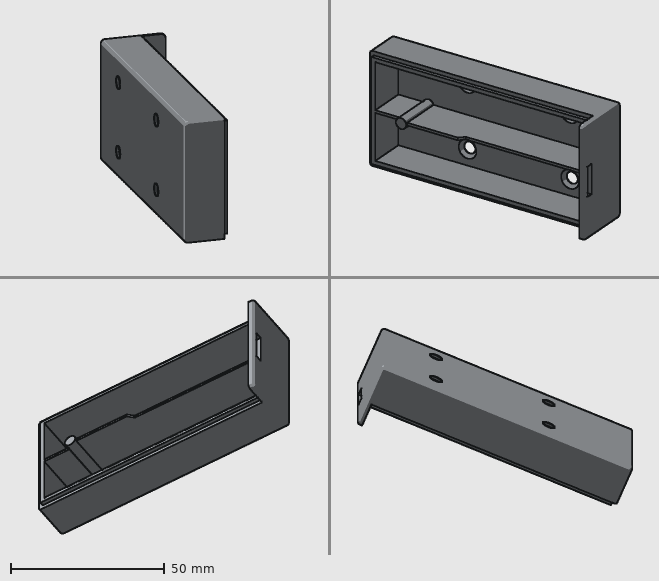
import cadquery as cq

LENGTH = 89.0
DEPTH = 22.0
HEIGHT = 42.0
MID_Z = HEIGHT / 2

WALL_TOP = 13.8
FLOOR = 1.5
END_PLATE = 2.0
WALL = 3.0
LONG_EDGE_RADIUS = 1.5
END_EDGE_RADIUS = 1.0

LIP_HEIGHT = 1.4
LIP_INSET = 1.5
LIP_TOP = WALL_TOP + LIP_HEIGHT

RIB_WIDTH = 1.0
TONGUE_START = 50.7
TONGUE_TOP = 17.1
PIN_X = 74.2
PIN_DIAMETER = 4.0
PIN_TOP = 17.9

HOLE_DIAMETER = 4.3
COUNTERSINK_DIAMETER = 6.9
HOLE_FIRST_X = 19.0
HOLE_SPACING_X = 40.0
HOLE_SPACING_Z = 24.0

SLOT_BOTTOM = 17.6
SLOT_TOP = 20.0
SLOT_LENGTH = 11.0


def block(x_range, y_range, z_range):
    """Axis-aligned box spanning the given ranges."""
    low = [r[0] for r in (x_range, y_range, z_range)]
    size = [r[1] - r[0] for r in (x_range, y_range, z_range)]
    return cq.Workplane("XY").box(*size, centered=False).translate(tuple(low))


def centred_span(width):
    """Z range of the given width about the middle of the part."""
    return (MID_Z - width / 2, MID_Z + width / 2)


def make_body():
    """Solid L-shaped body with rounded edges along the floor and around both end faces."""
    body = (
        cq.Workplane("XY")
        .polyline(
            [
                (0, 0),
                (LENGTH, 0),
                (LENGTH, WALL_TOP),
                (END_PLATE, WALL_TOP),
                (END_PLATE, DEPTH),
                (0, DEPTH),
            ]
        )
        .close()
        .extrude(HEIGHT)
    )
    floor_edges = body.faces("<Y").edges("|X").vals()
    plate_edges = body.faces(">Y").edges("<X or |X").vals()
    body = body.newObject(floor_edges + plate_edges).fillet(LONG_EDGE_RADIUS)
    body = body.faces("<X").edges("not >Y").fillet(END_EDGE_RADIUS)
    return body.faces(">X").edges("not >Y").fillet(END_EDGE_RADIUS)


def make_lip():
    """Step set in from the outer walls on the three low sides."""
    return block(
        (END_PLATE, LENGTH - LIP_INSET),
        (WALL_TOP, LIP_TOP),
        centred_span(HEIGHT - 2 * LIP_INSET),
    )


def make_cavity():
    """Inside of the shell, open towards +Y."""
    return block(
        (END_PLATE, LENGTH - WALL),
        (FLOOR, LIP_TOP),
        centred_span(HEIGHT - 2 * WALL),
    )


def make_rib():
    """Rib along the middle of the cavity, level with the lip."""
    return block((END_PLATE, LENGTH - WALL), (FLOOR, LIP_TOP), centred_span(RIB_WIDTH))


def make_tongue():
    """Raised part of the rib, ramped at 45 degrees at its start and ending inside the pin."""
    rise = TONGUE_TOP - LIP_TOP
    return (
        cq.Workplane("XY")
        .workplane(offset=MID_Z - RIB_WIDTH / 2)
        .moveTo(TONGUE_START, LIP_TOP)
        .lineTo(TONGUE_START + rise, TONGUE_TOP)
        .lineTo(PIN_X, TONGUE_TOP)
        .lineTo(PIN_X, FLOOR)
        .lineTo(TONGUE_START, FLOOR)
        .close()
        .extrude(RIB_WIDTH)
    )


def cylinder_along_y(x, z, diameter, y_range):
    """Round bar parallel to Y between two Y positions."""
    start, end = y_range
    base = cq.Plane(origin=(x, start, z), xDir=(0, 0, 1), normal=(0, 1, 0))
    return cq.Workplane(base).circle(diameter / 2).extrude(end - start)


def make_pin():
    """Round pin at the end of the tongue."""
    return cylinder_along_y(PIN_X, MID_Z, PIN_DIAMETER, (FLOOR, PIN_TOP))


def cut_mounting_holes(part):
    """Four holes through the floor, countersunk at 90 degrees from the inside."""
    cone_depth = (COUNTERSINK_DIAMETER - HOLE_DIAMETER) / 2
    cone_start = FLOOR - cone_depth
    for x in (HOLE_FIRST_X, HOLE_FIRST_X + HOLE_SPACING_X):
        for z in centred_span(HOLE_SPACING_Z):
            cone = cq.Solid.makeCone(
                HOLE_DIAMETER / 2,
                COUNTERSINK_DIAMETER / 2,
                cone_depth,
                cq.Vector(x, cone_start, z),
                cq.Vector(0, 1, 0),
            )
            part = part.cut(cylinder_along_y(x, z, HOLE_DIAMETER, (0, FLOOR)))
            part = part.cut(cq.Workplane(cone))
    return part


def make_slot():
    """Rectangular opening through the end plate above the lip."""
    return block((0, END_PLATE), (SLOT_BOTTOM, SLOT_TOP), centred_span(SLOT_LENGTH))


shell = make_body().union(make_lip()).cut(make_cavity())
shell = cut_mounting_holes(shell).cut(make_slot())
result = shell.union(make_rib()).union(make_tongue()).union(make_pin())